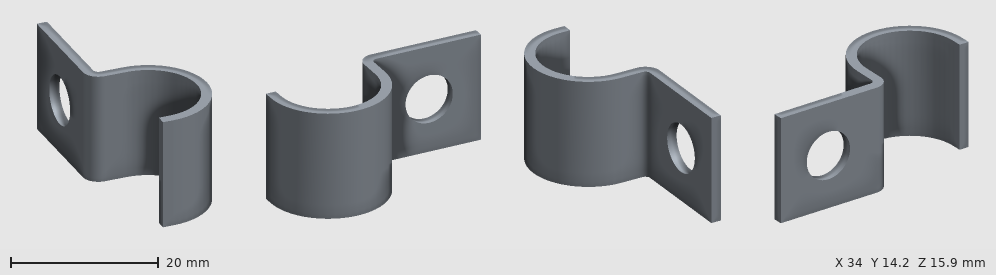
import cadquery as cq

total_length = 34.05
total_depth = 14.23
strip_width = 15.9
thickness = 1.5
saddle_outer_radius = 8.68
lip_length = 1.5
bend_inner_radius = 0.75
hole_diameter = 7.18
hole_from_end = 7.9

saddle_inner_radius = saddle_outer_radius - thickness
saddle_x = total_length - saddle_outer_radius
saddle_y = total_depth - saddle_outer_radius
lip_y = saddle_y - lip_length
bend_outer_radius = bend_inner_radius + thickness
leg_outer_x = saddle_x - saddle_outer_radius
leg_inner_x = leg_outer_x + thickness
bend_x = leg_inner_x - bend_outer_radius
bend_y = bend_outer_radius


def make_strip():
    """Bent strip: flat foot, rounded bend, upright leg and half-round saddle."""
    return (
        cq.Workplane("XY")
        .moveTo(0, 0)
        .lineTo(bend_x, 0)
        .radiusArc((leg_inner_x, bend_y), -bend_outer_radius)
        .lineTo(leg_inner_x, saddle_y)
        .threePointArc(
            (saddle_x, saddle_y + saddle_inner_radius),
            (saddle_x + saddle_inner_radius, saddle_y),
        )
        .lineTo(saddle_x + saddle_inner_radius, lip_y)
        .lineTo(total_length, lip_y)
        .lineTo(total_length, saddle_y)
        .threePointArc((saddle_x, total_depth), (leg_outer_x, saddle_y))
        .lineTo(leg_outer_x, bend_y)
        .radiusArc((bend_x, thickness), bend_inner_radius)
        .lineTo(0, thickness)
        .close()
        .extrude(strip_width)
    )


def make_screw_hole():
    """Cylinder that cuts the screw hole through the foot."""
    return (
        cq.Workplane("XZ")
        .center(hole_from_end, strip_width / 2)
        .circle(hole_diameter / 2)
        .extrude(-thickness)
    )


result = make_strip().cut(make_screw_hole())